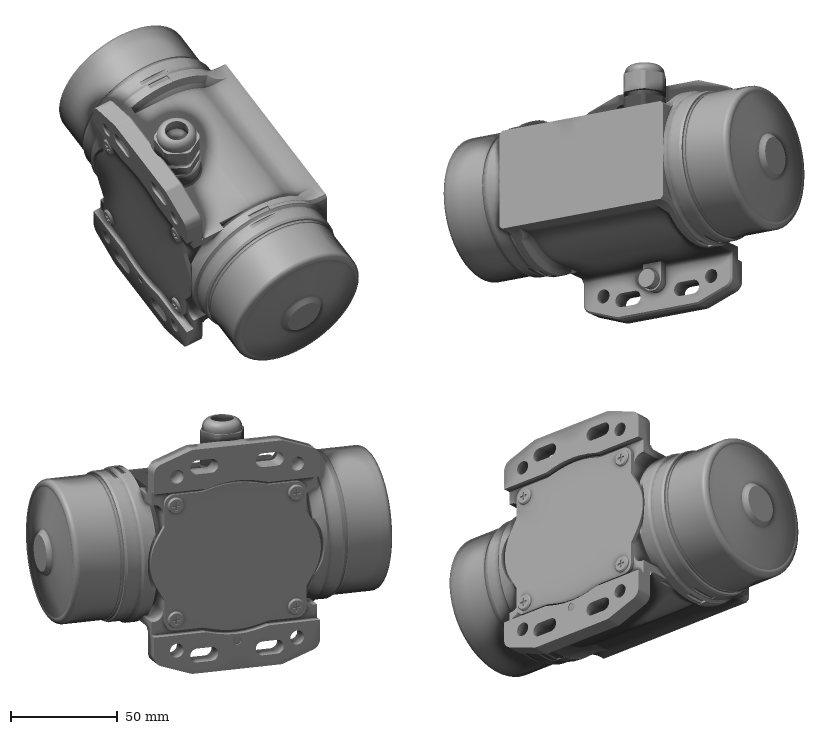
import cadquery as cq
import math


half_length = 84.5
hub_face_radius = 8.8
hub_radius = 9.9
hub_rim_height = 1.1
hub_base_radius = 11.0
hub_height = 2.2
cap_radius = 34.4
cap_edge_start_radius = 31.0
cap_edge_x = 79.5
cap_wall_x = 77.0
cap_edge_bulge = 0.78
seam_x = 57.0
seam_width = 0.8
seam_depth = 0.4
collar_radius = 35.8
collar_x = 55.0
collar_chamfer_length = 1.2
collar_chamfer_depth = 0.4
collar_inner_x = 47.2
flange_radius = 36.9
flange_x = 46.2
flange_inner_x = 41.2
flange_chamfer = 0.4
flange_step_x = 39.3
flange_step_radius = 34.0

body_radius = 32.4
body_half_length = 37.4
pad_y = 37.0
pad_half_width = 24.0
body_pad_edge_y = 25.7
flange_pad_edge_y = 34.2
flange_pad_x = 45.6
flange_pad_rise = 0.15
flange_pad_bevel = 1.4
flange_pad_slope_rise = 3.4

collar_slot_x = 49.0
collar_slot_width = 2.0
collar_slot_length = 14.5
collar_slot_depth = 0.9
flange_slot_x = 44.7
flange_slot_width = 2.4
flange_slot_length = 10.8
flange_slot_depth = 1.2

plate_front_y = -38.0
plate_back_y = -28.8
plate_half_width = 41.5
plate_half_height = 55.0
plate_top_half_width = 22.5
plate_top_radius = 3.8
plate_slope_z = 48.3
plate_corner_radius = 5.0
plate_edge_chamfer = 0.8
step_y = -34.2
step_z = 35.2
base_half_width = 35.5
shoulder_y = -17.5
shoulder_under_z = 28.7
shoulder_fillet = 5.0
plate_root_fillet = 2.0
hole_diameter = 6.8
hole_x = 30.1
hole_z = 42.7
slot_x = 16.4
slot_z = 46.2
slot_length = 14.0

cover_face_y = -36.2
cover_half_height = 33.4
cover_corner_radius = 5.0
cover_clearance = 1.6
side_bump_x = 42.6
side_bump_z = 12.0
side_bump_edge_x = 39.2
side_bump_root_z = 18.2
top_bump_z = 36.1
top_bump_edge_x = 9.5
top_bump_edge_z = 35.1
top_bump_root_x = 16.5
cover_screw_x = 30.1
cover_screw_z = 28.0
cover_screw_radius = 4.0
cover_screw_face_y = -37.4
cover_screw_chamfer = 0.6
cross_length = 4.0
cross_width = 1.0
cross_depth = 0.8

gland_y = -17.8
gland_root_radius = 12.0
gland_root_top_z = 33.2
gland_seat_radius = 11.2
gland_seat_top_z = 40.7
gland_seat_chamfer = 0.8
gland_across_flats = 19.5
gland_corner_radius = 10.7
gland_nut_top_z = 45.9
gland_neck_radius = 8.1
gland_dome_nut_z = 48.4
gland_dome_nut_top_z = 57.4
gland_dome_radius = 9.4
gland_top_z = 62.5
gland_dome_fillet = 3.85
gland_bore_radius = 5.5
gland_bore_depth = 6.0
gland_bore_cone_depth = 3.2
gland_clearance_radius = 12.6

earth_z = -41.0
earth_boss_radius = 5.0
earth_boss_y = -24.2
earth_head_radius = 4.4
earth_head_y = -19.4
earth_tip_radius = 2.1
earth_tip_recess = 0.5

SIDES = (-1, 1)


def box(x0, x1, y0, y1, z0, z1):
    return cq.Workplane("XY").box(x1 - x0, y1 - y0, z1 - z0, centered=False).translate((x0, y0, z0))


def cylinder_y(radius, x, z, y0, y1):
    """Cylinder along Y between two Y positions."""
    return cq.Workplane("XZ", origin=(x, y0, z)).circle(radius).extrude(y0 - y1)


def cylinder_z(radius, z0, z1):
    """Cylinder on the gland axis."""
    return cq.Workplane("XY", origin=(0, gland_y, z0)).circle(radius).extrude(z1 - z0)


def turned_end():
    """End cap, collar and flange on the +X side, turned about X."""
    edge_bulge = (
        cap_wall_x + cap_edge_bulge * (cap_edge_x - cap_wall_x),
        cap_edge_start_radius + cap_edge_bulge * (cap_radius - cap_edge_start_radius),
    )
    hub_root_x = half_length - hub_height
    seam_end = seam_x - seam_width
    return (
        cq.Workplane("XY")
        .moveTo(0, 0)
        .lineTo(half_length, 0)
        .lineTo(half_length, hub_face_radius)
        .lineTo(half_length - hub_rim_height, hub_radius)
        .lineTo(hub_root_x, hub_base_radius)
        .lineTo(cap_edge_x, cap_edge_start_radius)
        .threePointArc(edge_bulge, (cap_wall_x, cap_radius))
        .lineTo(seam_x, cap_radius)
        .lineTo(seam_x, cap_radius - seam_depth)
        .lineTo(seam_end, cap_radius - seam_depth)
        .lineTo(seam_end, cap_radius)
        .lineTo(collar_x, cap_radius)
        .lineTo(collar_x, collar_radius - collar_chamfer_depth)
        .lineTo(collar_x - collar_chamfer_length, collar_radius)
        .lineTo(collar_inner_x, collar_radius)
        .lineTo(flange_x, flange_radius - flange_chamfer)
        .lineTo(flange_x - flange_chamfer, flange_radius)
        .lineTo(flange_step_x, flange_radius)
        .lineTo(flange_step_x, body_radius)
        .lineTo(0, body_radius)
        .close()
        .revolve(360, (0, 0, 0), (1, 0, 0))
    )


def turned_ring(points):
    """Ring turned about X, kept only on the rear side of the shoulders."""
    ring = cq.Workplane("XY").polyline(points).close().revolve(360, (0, 0, 0), (1, 0, 0))
    reach = 2 * flange_radius
    return ring.intersect(box(0, half_length, shoulder_y, reach, -reach, reach))


def bevel_flange(end):
    """Slope the inner side of the flange down to the housing, in two steps."""
    crest = [
        (flange_inner_x, flange_radius),
        (flange_step_x, flange_step_radius),
        (flange_step_x, flange_radius),
    ]
    foot_slope = [
        (flange_step_x, flange_step_radius),
        (body_half_length, body_radius),
        (flange_step_x, body_radius),
    ]
    return end.cut(turned_ring(crest)).union(turned_ring(foot_slope))


def pad_section(radius, edge_y, stop_y, start_x, end_x):
    """Rear pad with flat sides that blend into a cylinder, followed round to stop_y."""
    blend = (edge_y**2 + pad_half_width**2 - radius**2) / (2 * (radius - pad_half_width))
    centre_z = pad_half_width + blend
    reach = radius + blend
    tangent_y = edge_y * radius / reach
    tangent_z = centre_z * radius / reach
    middle_angle = (math.atan2(tangent_z - centre_z, tangent_y - edge_y) - math.pi / 2) / 2
    middle_y = edge_y + blend * math.cos(middle_angle)
    middle_z = centre_z + blend * math.sin(middle_angle)
    stop_z = math.sqrt(radius**2 - stop_y**2)
    crown_y = (tangent_y + stop_y) / 2
    crown_z = math.sqrt(radius**2 - crown_y**2)
    return (
        cq.Workplane("YZ", origin=(start_x, 0, 0))
        .moveTo(pad_y, -pad_half_width)
        .lineTo(pad_y, pad_half_width)
        .lineTo(edge_y, pad_half_width)
        .threePointArc((middle_y, middle_z), (tangent_y, tangent_z))
        .threePointArc((crown_y, crown_z), (stop_y, stop_z))
        .lineTo(stop_y, -stop_z)
        .threePointArc((crown_y, -crown_z), (tangent_y, -tangent_z))
        .threePointArc((middle_y, -middle_z), (edge_y, -pad_half_width))
        .close()
        .extrude(end_x - start_x)
    )


def flange_pad():
    """Pad on the +X flange, bevelled outside and sloped down to the housing inside."""
    radius = flange_radius + flange_pad_rise
    stop_y = flange_slot_length / 2
    pad = pad_section(radius, flange_pad_edge_y, stop_y, body_half_length, flange_pad_x)
    pad = pad.faces(">X").edges("not >Y").chamfer(flange_pad_bevel)
    slope = (
        cq.Workplane("XZ")
        .moveTo(body_half_length, pad_half_width)
        .lineTo(flange_inner_x, pad_half_width + flange_pad_slope_rise)
        .lineTo(flange_inner_x, 2 * pad_half_width)
        .lineTo(body_half_length, 2 * pad_half_width)
        .close()
        .extrude(-pad_y)
    )
    return pad.cut(slope).cut(slope.mirror("XY"))


def cut_marks(body):
    """Shallow slots across the top and bottom of each collar and flange."""
    marks = (
        (collar_slot_x, collar_slot_width, collar_slot_length, collar_radius, collar_slot_depth),
        (flange_slot_x, flange_slot_width, flange_slot_length, flange_radius, flange_slot_depth),
    )
    for x, width, length, radius, depth in marks:
        for side_x in SIDES:
            for side_z in SIDES:
                mark = cq.Workplane("XY").box(width, length, 2 * depth)
                body = body.cut(mark.translate((side_x * x, 0, side_z * radius)))
    return body


def housing():
    """Turned ends and rear pad."""
    end = bevel_flange(turned_end()).union(flange_pad())
    body = end.union(end.mirror("YZ"))
    body_pad = pad_section(body_radius, body_pad_edge_y, 0, -body_half_length, body_half_length)
    return cut_marks(body.union(body_pad))


def shoulder_corner(side_x, side_z):
    """Concave fillet between a shoulder's underside and the side wall of the base."""
    outer_x = base_half_width + shoulder_fillet
    lower_z = shoulder_under_z - shoulder_fillet
    corner = box(base_half_width, outer_x, step_y, shoulder_y, lower_z, shoulder_under_z)
    corner = corner.cut(cylinder_y(shoulder_fillet, outer_x, lower_z, step_y, shoulder_y))
    if side_x < 0:
        corner = corner.mirror("YZ")
    if side_z < 0:
        corner = corner.mirror("XY")
    return corner


def base():
    """Block under the housing with a shoulder and a slotted foot at each end."""
    block = box(-base_half_width, base_half_width, step_y, 0, -body_radius, body_radius)
    for side_z in SIDES:
        block = block.union(foot(side_z))
        for side_x in SIDES:
            block = block.union(shoulder_corner(side_x, side_z))
    return block


def foot_plate():
    """Thick foot on the +Z side with its holes and slots."""
    plate = (
        cq.Workplane("XZ", origin=(0, plate_back_y, 0))
        .moveTo(-plate_half_width, body_radius)
        .lineTo(-plate_half_width, plate_slope_z)
        .lineTo(-plate_top_half_width, plate_half_height)
        .lineTo(plate_top_half_width, plate_half_height)
        .lineTo(plate_half_width, plate_slope_z)
        .lineTo(plate_half_width, body_radius)
        .close()
        .extrude(plate_back_y - plate_front_y)
    )
    plate = plate.edges("|Y").edges(">>Z[-1]").fillet(plate_top_radius)
    plate = plate.edges("|Y and (<X or >X)").edges(">Z").fillet(plate_corner_radius)
    plate = plate.faces(">Y").edges("not <Z").chamfer(plate_edge_chamfer)
    for side_x in SIDES:
        plate = plate.cut(cylinder_y(hole_diameter / 2, side_x * hole_x, hole_z, 0, plate_front_y))
        slot = cq.Workplane("XZ", origin=(side_x * slot_x, 0, slot_z)).slot2D(slot_length, hole_diameter)
        plate = plate.cut(slot.extrude(-plate_front_y))
    return plate.cut(box(-plate_half_width, plate_half_width, plate_front_y, step_y, 0, step_z))


def foot(side_z):
    """Foot plate with its shoulder and root fillet; mirrored for the -Z side."""
    w = plate_half_width
    wide_shoulder = box(-w, w, step_y, shoulder_y, shoulder_under_z, body_radius)
    narrow_shoulder = box(-body_half_length, body_half_length, shoulder_y, 0, shoulder_under_z, body_radius)
    root_y = plate_back_y + plate_root_fillet
    root_z = body_radius + plate_root_fillet
    root = box(-w, w, plate_back_y, root_y, body_radius, root_z)
    root_round = cq.Workplane("YZ", origin=(-w, root_y, root_z)).circle(plate_root_fillet).extrude(2 * w)
    shape = foot_plate().union(wide_shoulder).union(narrow_shoulder).union(root.cut(root_round))
    return shape if side_z > 0 else shape.mirror("XY")


def cover_outline(start_y):
    """Square outline, rounded at the corners and bulging at the middle of each side."""
    r = cover_corner_radius
    arc_inset = r * (1 - math.sqrt(0.5))
    w = base_half_width
    h = cover_half_height
    return (
        cq.Workplane("XZ", origin=(0, start_y, 0))
        .moveTo(-w, side_bump_root_z)
        .lineTo(-w, h - r)
        .threePointArc((-w + arc_inset, h - arc_inset), (-w + r, h))
        .lineTo(-top_bump_root_x, h)
        .lineTo(-top_bump_edge_x, top_bump_edge_z)
        .threePointArc((0, top_bump_z), (top_bump_edge_x, top_bump_edge_z))
        .lineTo(top_bump_root_x, h)
        .lineTo(w - r, h)
        .threePointArc((w - arc_inset, h - arc_inset), (w, h - r))
        .lineTo(w, side_bump_root_z)
        .lineTo(side_bump_edge_x, side_bump_z)
        .threePointArc((side_bump_x, 0), (side_bump_edge_x, -side_bump_z))
        .lineTo(w, -side_bump_root_z)
        .lineTo(w, r - h)
        .threePointArc((w - arc_inset, arc_inset - h), (w - r, -h))
        .lineTo(top_bump_root_x, -h)
        .lineTo(top_bump_edge_x, -top_bump_edge_z)
        .threePointArc((0, -top_bump_z), (-top_bump_edge_x, -top_bump_edge_z))
        .lineTo(-top_bump_root_x, -h)
        .lineTo(r - w, -h)
        .threePointArc((arc_inset - w, arc_inset - h), (-w, r - h))
        .lineTo(-w, -side_bump_root_z)
        .lineTo(-side_bump_edge_x, -side_bump_z)
        .threePointArc((-side_bump_x, 0), (-side_bump_edge_x, side_bump_z))
        .close()
    )


def cover_recess():
    """Clearance around the cover, open toward the mounting face."""
    return cover_outline(step_y).offset2D(cover_clearance).extrude(step_y - 2 * plate_front_y)


def cover():
    """Flat cover with four cross-recessed screws."""
    lid = cover_outline(step_y).extrude(step_y - cover_face_y)
    for side_x in SIDES:
        for side_z in SIDES:
            x = side_x * cover_screw_x
            z = side_z * cover_screw_z
            head = cylinder_y(cover_screw_radius, x, z, step_y, cover_screw_face_y)
            head = head.faces("<Y").chamfer(cover_screw_chamfer)
            cross = cq.Workplane("XY").box(cross_length, 2 * cross_depth, cross_width)
            cross = cross.union(cross.rotate((0, 0, 0), (0, 1, 0), 90))
            lid = lid.union(head).cut(cross.translate((x, cover_screw_face_y, z)))
    return lid


def hexagon(z0, z1):
    """Gland nut with corners on X, turned down at the corners."""
    corner_diameter = gland_across_flats / math.cos(math.pi / 6)
    nut = cq.Workplane("XY", origin=(0, gland_y, z0)).polygon(6, corner_diameter).extrude(z1 - z0)
    return nut.intersect(cylinder_z(gland_corner_radius, z0, z1))


def cable_gland():
    """Seat, two nuts with a neck between them, and a bored dome."""
    root = (
        cq.Workplane("XY", origin=(0, gland_y, body_radius))
        .circle(gland_root_radius)
        .workplane(offset=gland_root_top_z - body_radius)
        .circle(gland_seat_radius)
        .loft(ruled=True)
    )
    seat = cylinder_z(gland_seat_radius, shoulder_under_z, gland_seat_top_z)
    gland = seat.faces(">Z").chamfer(gland_seat_chamfer).union(root)
    gland = gland.union(hexagon(gland_seat_top_z, gland_nut_top_z))
    gland = gland.union(cylinder_z(gland_neck_radius, gland_nut_top_z, gland_dome_nut_z))
    gland = gland.union(hexagon(gland_dome_nut_z, gland_dome_nut_top_z))
    dome = cylinder_z(gland_dome_radius, gland_dome_nut_top_z, gland_top_z)
    gland = gland.union(dome.faces(">Z").edges().fillet(gland_dome_fillet))
    bore = (
        cq.Workplane("XZ", origin=(0, gland_y, gland_top_z))
        .lineTo(gland_bore_radius, 0)
        .lineTo(gland_bore_radius, -gland_bore_depth)
        .lineTo(0, -gland_bore_depth - gland_bore_cone_depth)
        .close()
        .revolve(360, (0, 0, 0), (0, 1, 0))
    )
    return gland.cut(bore)


def earth_screw():
    """Boss on the back of the lower foot, joined to the housing, with a screw head."""
    boss = cylinder_y(earth_boss_radius, 0, earth_z, earth_boss_y, plate_back_y)
    web = box(-earth_boss_radius, earth_boss_radius, plate_back_y, earth_boss_y, earth_z, -body_radius)
    head = cylinder_y(earth_head_radius, 0, earth_z, earth_head_y, earth_boss_y)
    return boss.union(web).union(head)


earth_tip = cylinder_y(earth_tip_radius, 0, earth_z, plate_front_y + earth_tip_recess, plate_front_y)

result = (
    housing()
    .union(base())
    .cut(cylinder_z(gland_clearance_radius, gland_root_top_z, plate_half_height))
    .union(cable_gland())
    .union(earth_screw())
    .cut(cover_recess())
    .union(cover())
    .cut(earth_tip)
)